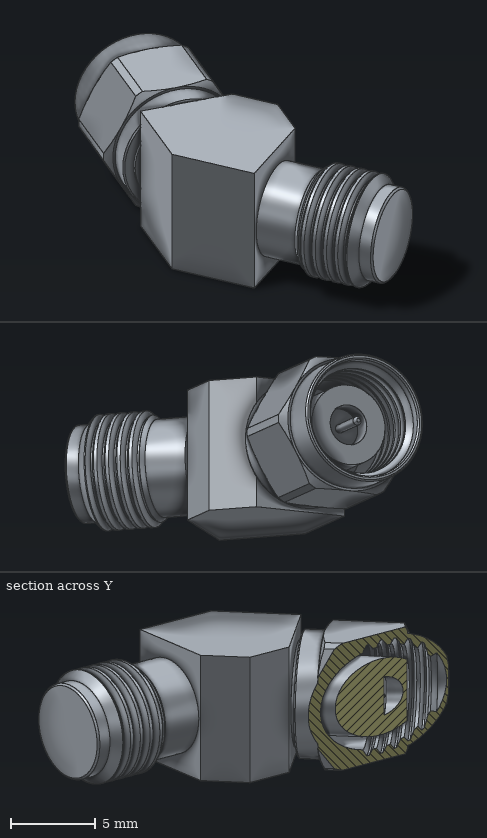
import cadquery as cq
import math


bend_angle = 135.0
face_distance = 4.15
block_half_width = 2.9
block_height = 7.89

neck_radius = 2.05
neck_length = 0.15
neck_end = face_distance + neck_length

thread_pitch = 0.73
thread_depth = 0.38
groove_mouth = 0.52
groove_root = 0.12

jack_radius = 2.93
jack_end = 11.85
jack_end_chamfer = 0.12
jack_thread_radius = 3.47
jack_thread_start = 6.8
jack_thread_end = 10.98
jack_first_groove = 7.18
jack_groove_count = 5

flange_radius = 3.19
flange_end = 4.53
ferrule_radius = 2.4
ferrule_end = 10.67
socket_radius = 1.2
socket_floor = 9.45

nut_start = flange_end
nut_end = 12.87
nut_radius = 3.85
nut_rim_chamfer = 0.1
hex_start = 5.9
hex_end = 10.7
hex_flats = 8.0
hex_corner_radius = 4.49
hex_chamfer_angle = 30.0
nut_bore_radius = 3.16
nut_bore_floor = hex_start
entry_radius = 3.52
entry_cone_start = 11.9
entry_cone_end = 12.23
nut_first_groove = 11.5
nut_groove_count = 5

pin_radius = 0.25
pin_shoulder = 11.83
pin_tip = 12.05
pin_tip_radius = 0.12


def turned(profile):
    """Solid of revolution round X of a closed outline of (x, radius) points."""
    return cq.Workplane("XY").polyline(profile).close().revolve(360, (0, 0), (1, 0))


def rod(start, end, radius):
    """Cylinder round X."""
    return cq.Workplane("YZ").workplane(offset=start).circle(radius).extrude(end - start)


def thread_groove(center, mouth_radius, root_radius):
    """Ring with a trapezoidal section that cuts one thread groove."""
    return turned([
        (center - groove_mouth / 2, mouth_radius),
        (center - groove_root / 2, root_radius),
        (center + groove_root / 2, root_radius),
        (center + groove_mouth / 2, mouth_radius),
    ])


def swing_to_plug(part):
    """Turn a part modelled along +X onto the plug axis."""
    return part.rotate((0, 0, 0), (0, 0, 1), bend_angle)


def make_block():
    bend = math.radians(bend_angle)
    along = (math.cos(bend), math.sin(bend))
    inward = (math.sin(bend), -math.cos(bend))

    def plug_arm_point(distance, offset):
        """Point of the plug arm: distance along its axis, offset towards the inside of the bend."""
        return (
            distance * along[0] + offset * inward[0],
            distance * along[1] + offset * inward[1],
        )

    plug_inner = plug_arm_point(face_distance, block_half_width)
    plug_outer = plug_arm_point(face_distance, -block_half_width)
    outer_corner = (-block_half_width / math.tan(bend / 2), -block_half_width)
    top = plug_inner[1]
    top_corner = (face_distance + (top - block_half_width) / math.tan(bend), top)
    outline = [
        outer_corner,
        (face_distance, -block_half_width),
        (face_distance, block_half_width),
        top_corner,
        plug_inner,
        plug_outer,
    ]
    return (
        cq.Workplane("XY")
        .polyline(outline)
        .close()
        .extrude(block_height / 2, both=True)
    )


def make_jack():
    lead_in = jack_thread_radius - jack_radius
    neck = rod(face_distance, neck_end, neck_radius)
    barrel = rod(neck_end, jack_end, jack_radius).faces(">X").chamfer(jack_end_chamfer)
    thread = turned([
        (jack_thread_start, 0),
        (jack_thread_start, jack_radius),
        (jack_thread_start + lead_in, jack_thread_radius),
        (jack_thread_end - lead_in, jack_thread_radius),
        (jack_thread_end, jack_radius),
        (jack_thread_end, 0),
    ])
    for index in range(jack_groove_count):
        center = jack_first_groove + index * thread_pitch
        thread = thread.cut(
            thread_groove(center, jack_thread_radius, jack_thread_radius - thread_depth)
        )
    return neck.union(barrel).union(thread)


def make_plug():
    plug = (
        rod(face_distance, neck_end, neck_radius)
        .union(rod(neck_end, flange_end, flange_radius))
        .union(rod(flange_end, ferrule_end, ferrule_radius))
    )
    return plug.cut(rod(socket_floor, ferrule_end, socket_radius))


def make_housing():
    return make_block().union(make_jack()).union(swing_to_plug(make_plug()))


def make_hexagon():
    """Hexagon with two flats facing up and down, rounded corners and chamfered ends."""
    across_corners = hex_flats / math.cos(math.pi / 6)
    prism = (
        cq.Workplane("YZ")
        .workplane(offset=hex_start)
        .polygon(6, across_corners)
        .extrude(hex_end - hex_start)
    )
    end_radius = hex_flats / 2
    chamfer_length = (hex_corner_radius - end_radius) * math.tan(math.radians(hex_chamfer_angle))
    envelope = turned([
        (hex_start, 0),
        (hex_start, end_radius),
        (hex_start + chamfer_length, hex_corner_radius),
        (hex_end - chamfer_length, hex_corner_radius),
        (hex_end, end_radius),
        (hex_end, 0),
    ])
    return prism.intersect(envelope)


def make_nut():
    sleeve = rod(nut_start, nut_end, nut_radius).faces("<X or >X").chamfer(nut_rim_chamfer)
    bore = turned([
        (nut_start, 0),
        (nut_start, ferrule_radius),
        (nut_bore_floor, ferrule_radius),
        (nut_bore_floor, nut_bore_radius),
        (entry_cone_start, nut_bore_radius),
        (entry_cone_end, entry_radius),
        (nut_end - nut_rim_chamfer, entry_radius),
        (nut_end, entry_radius + nut_rim_chamfer),
        (nut_end, 0),
    ])
    nut = sleeve.union(make_hexagon()).cut(bore)
    for index in range(nut_groove_count):
        center = nut_first_groove - index * thread_pitch
        nut = nut.cut(thread_groove(center, nut_bore_radius, nut_bore_radius + thread_depth))
    return swing_to_plug(nut)


def make_pin():
    pin = turned([
        (socket_floor, 0),
        (socket_floor, pin_radius),
        (pin_shoulder, pin_radius),
        (pin_tip, pin_tip_radius),
        (pin_tip, 0),
    ])
    return swing_to_plug(pin)


housing = make_housing()
nut = make_nut()
pin = make_pin()

result = cq.Compound.makeCompound([housing.val(), nut.val(), pin.val()])